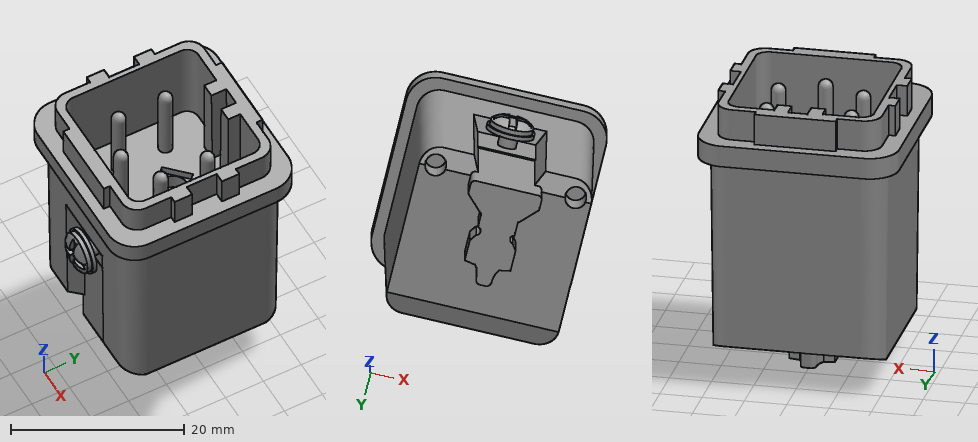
import cadquery as cq
import math

overall_height = 33.9
body_bottom = 3.73
flange_bottom = 27.63
flange_top = 30.17
cavity_floor = 22.45

flange_width = 23.7
flange_corner = 3.45
body_top_width = 20.95
body_bottom_width = 20.4
body_corner = 2.65
chamfer_run = 2.27
chamfer_rise = 0.85

collar_width = 19.32
collar_corner = 2.05
cavity_width = 17.22
cavity_corner = 1.53
lug_span = 20.95
wide_lug_width = 9.63
side_lug_outer = 4.27
side_lug_inner = 1.95
side_recess_span = 18.45

key_width = 5.7
key_front = 7.02
key_slot_width = 2.3
key_slot_floor_width = 1.9
key_slot_back = 9.0

pin_radius = 0.85
pin_top = 32.35
pin_x = 5.02
pin_y = 3.1
earth_pin_y = -5.55
socket_y = 1.32
socket_side = 3.73
socket_depth = 1.02
socket_hole_radius = 1.8
socket_hole_depth = 2.05

channel_top = 20.75
channel_floor_top = 20.2
channel_mouth_half = 4.3
channel_floor_half = 3.35
channel_mouth_y = -10.35
channel_floor_y = -8.48
pad_bottom = 14.07
pad_thickness = 0.17

screw_z = 17.12
shank_radius = 1.1
washer_radius = 2.8
washer_back = -10.27
washer_front = -10.78
head_radius = 2.55
head_rim_y = -11.35
head_front = -12.05
head_flat_radius = 1.22
dome_bulge = 0.1
cross_length = 4.4
cross_width = 0.88
cross_floor = -11.45

wire_hole_radius = 1.22
wire_hole_x = 8.3
wire_hole_y = -8.15
wire_hole_depth = 3.4

tail_center_x = 0.1
tail_half_width = 4.2
tail_front = channel_floor_y
tail_back = 3.53
tail_shoulder_back = -6.78
tail_waist_half = 2.17
tail_waist_front = -4.7
tail_waist_back = -3.15
groove_depth = 0.4
groove_back = -2.17
tail_rib_half = 2.7
tail_rib_front = -1.4
tail_rib_back = 1.1
tail_neck_half = 1.42
tail_neck_front = 1.32
tail_neck_hollow = 0.15
tail_end_half = 0.9
tail_end_corner = 0.6
tail_corner = 0.5
tail_top = body_bottom + chamfer_rise / 2


def rounded_block(width, corner, bottom, top):
    """Square block with rounded upright edges, centred on the Z axis."""
    block = cq.Workplane("XY", origin=(0, 0, bottom)).rect(width, width).extrude(top - bottom)
    return block.edges("|Z").fillet(corner)


def box_between(x_range, y_range, z_range):
    """Box spanning the given lower and upper limits on each axis."""
    low, high = zip(x_range, y_range, z_range)
    size = [b - a for a, b in zip(low, high)]
    return cq.Workplane("XY", origin=low).box(*size, centered=False)


def body():
    """Body narrowing downward, with its front and rear bottom edges chamfered."""
    height = flange_bottom - body_bottom
    taper = math.degrees(math.atan((body_top_width - body_bottom_width) / 2 / height))
    outline = cq.Sketch().rect(body_top_width, body_top_width).vertices().fillet(body_corner)
    block = (
        cq.Workplane("XY", origin=(0, 0, flange_bottom))
        .placeSketch(outline)
        .extrude(-height, taper=taper)
    )
    edge = body_bottom_width / 2
    run = 2 * chamfer_run
    rise = 2 * chamfer_rise
    for side in (1, -1):
        inner = side * (edge - chamfer_run)
        wedge = (
            cq.Workplane("YZ", origin=(-body_top_width / 2, 0, 0))
            .polyline([
                (inner, body_bottom),
                (inner + side * run, body_bottom + rise),
                (inner + side * run, body_bottom),
            ])
            .close()
            .extrude(body_top_width)
        )
        block = block.cut(wedge)
    return block


def collar():
    """Upper rim with wide lugs front and rear and a pair of lugs on each side."""
    height = (flange_top, overall_height)
    rim = rounded_block(collar_width, collar_corner, *height)
    lug_edge = lug_span / 2
    half_lug = wide_lug_width / 2
    rim = rim.union(box_between((-half_lug, half_lug), (-lug_edge, lug_edge), height))
    side_lugs = box_between((-lug_edge, lug_edge), (-side_lug_outer, side_lug_outer), height)
    rim = rim.union(side_lugs)
    for side in (1, -1):
        x_range = sorted((side * side_recess_span / 2, side * lug_edge))
        rim = rim.cut(box_between(x_range, (-side_lug_inner, side_lug_inner), height))
    return rim


def cavity():
    """Space inside the collar, leaving the key rib standing with its slot narrowing downward."""
    height = (cavity_floor, overall_height)
    half_key = key_width / 2
    half_slot = key_slot_width / 2
    half_slot_floor = key_slot_floor_width / 2
    space = rounded_block(cavity_width, cavity_corner, *height)
    space = space.cut(box_between((-half_key, half_key), (key_front, cavity_width), height))
    slot = (
        cq.Workplane("XZ", origin=(0, key_slot_back, 0))
        .polyline([
            (-half_slot_floor, cavity_floor),
            (half_slot_floor, cavity_floor),
            (half_slot, overall_height),
            (-half_slot, overall_height),
        ])
        .close()
        .extrude(key_slot_back - key_front)
    )
    return space.union(slot)


def socket():
    """Square recess turned on its corner, with a round hole in its floor."""
    square = (
        cq.Workplane("XY", origin=(0, socket_y, cavity_floor))
        .transformed(rotate=(0, 0, 45))
        .rect(socket_side, socket_side)
        .extrude(-socket_depth)
    )
    hole = (
        cq.Workplane("XY", origin=(0, socket_y, cavity_floor))
        .circle(socket_hole_radius)
        .extrude(-socket_depth - socket_hole_depth)
    )
    return square.union(hole)


def pins():
    """Five round contact pins with domed tips."""
    corners = [(x, y) for x in (-pin_x, pin_x) for y in (-pin_y, pin_y)]
    shoulder = pin_top - pin_radius
    stems = (
        cq.Workplane("XY", origin=(0, 0, cavity_floor))
        .pushPoints(corners + [(0, earth_pin_y)])
        .circle(pin_radius)
        .extrude(shoulder - cavity_floor)
    )
    tips = (
        cq.Workplane("XY", origin=(0, 0, shoulder))
        .pushPoints(corners + [(0, earth_pin_y)])
        .sphere(pin_radius)
    )
    return stems.union(tips)


def channel():
    """Front channel, open at the bottom, with sides sloping in to its floor."""
    outer_y = 2 * channel_mouth_y - channel_floor_y
    outer_half = 2 * channel_mouth_half - channel_floor_half
    outer_top = 2 * channel_top - channel_floor_top
    floor = cq.Workplane("XZ", origin=(0, channel_floor_y, 0))
    space = (
        floor.center(0, channel_floor_top / 2)
        .rect(2 * channel_floor_half, channel_floor_top)
        .workplane(offset=channel_floor_y - outer_y)
        .center(0, (outer_top - channel_floor_top) / 2)
        .rect(2 * outer_half, outer_top)
        .loft(combine=True)
    )
    pad = box_between(
        (-channel_mouth_half, channel_mouth_half),
        (channel_floor_y - pad_thickness, channel_floor_y),
        (pad_bottom, channel_top),
    )
    return space.cut(pad)


def wire_holes():
    """Blind holes rising from the front corners of the underside."""
    return (
        cq.Workplane("XY", origin=(0, 0, body_bottom))
        .pushPoints([(-wire_hole_x, wire_hole_y), (wire_hole_x, wire_hole_y)])
        .circle(wire_hole_radius)
        .extrude(wire_hole_depth)
    )


def screw():
    """Shank, washer and domed screw head with a cross slot."""
    mid_radius = (head_radius + head_flat_radius) / 2 + dome_bulge
    mid_y = (head_rim_y + head_front) / 2 - dome_bulge
    turned = (
        cq.Workplane("XY")
        .moveTo(0, channel_floor_y)
        .lineTo(shank_radius, channel_floor_y)
        .lineTo(shank_radius, washer_back)
        .lineTo(washer_radius, washer_back)
        .lineTo(washer_radius, washer_front)
        .lineTo(head_radius, washer_front)
        .lineTo(head_radius, head_rim_y)
        .threePointArc((mid_radius, mid_y), (head_flat_radius, head_front))
        .lineTo(0, head_front)
        .close()
        .revolve(360, (0, 0, 0), (0, 1, 0))
    )
    for width, height in ((cross_length, cross_width), (cross_width, cross_length)):
        slot = (
            cq.Workplane("XZ", origin=(0, cross_floor, 0))
            .rect(width, height)
            .extrude(cross_floor - head_front)
        )
        turned = turned.cut(slot)
    return turned.translate((0, 0, screw_z))


def tail():
    """Block under the body, with stepped and grooved sides mirrored left to right."""
    groove_middle = (tail_waist_back + groove_back) / 2
    end_side_back = tail_back - tail_end_corner
    half = (
        cq.Workplane("XY")
        .moveTo(0, tail_front)
        .lineTo(-tail_half_width + tail_corner, tail_front)
        .radiusArc((-tail_half_width, tail_front + tail_corner), tail_corner)
        .lineTo(-tail_half_width, tail_shoulder_back)
        .lineTo(-tail_waist_half, tail_waist_front)
        .lineTo(-tail_waist_half, tail_waist_back)
        .threePointArc((-tail_waist_half + groove_depth, groove_middle), (-tail_waist_half, groove_back))
        .lineTo(-tail_rib_half, tail_rib_front)
        .lineTo(-tail_rib_half, tail_rib_back)
        .lineTo(-tail_neck_half, tail_neck_front)
        .sagittaArc((-tail_end_half, end_side_back), -tail_neck_hollow)
        .radiusArc((-tail_end_half + tail_end_corner, tail_back), tail_end_corner)
        .lineTo(0, tail_back)
        .close()
        .extrude(tail_top)
    )
    return half.union(half.mirror("YZ")).translate((tail_center_x, 0, 0))


result = body()
result = result.union(rounded_block(flange_width, flange_corner, flange_bottom, flange_top))
result = result.union(collar())
result = result.cut(cavity()).cut(socket())
result = result.union(pins())
result = result.cut(channel()).cut(wire_holes())
result = result.union(screw()).union(tail())